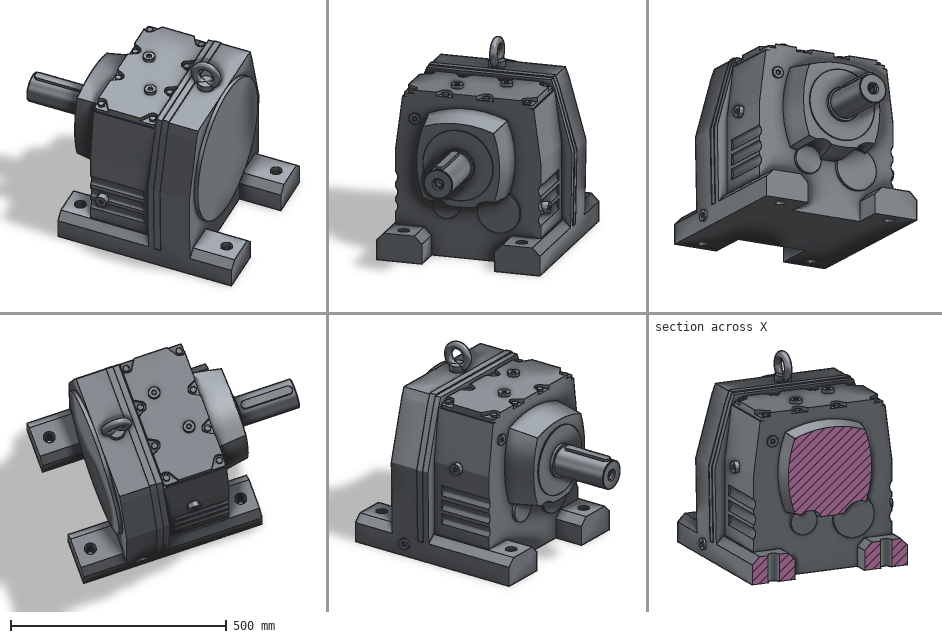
import cadquery as cq
import math

total_length = 590.0
shaft_axis_z = 250.0

key_start, key_end = 6.5, 132.0
collar_x = 140.0
seal_x = 147.5
boss_x = 150.5
bearing_cap_x = 216.5
housing_x = 224.0
flange_x = 380.0
rib_start, rib_end = 395.0, 411.0
flange_end = 485.0
motor_disc_end = 494.5

foot_outer_y, foot_inner_y = 199.5, 89.0
foot_height, foot_chamfer = 66.5, 18.0
foot_edge_z = foot_height - foot_chamfer
foot_hole_radius, foot_hole_y = 13.5, 144.5
foot_hole_stations = (184.0, 554.0)

shoulder_z = 380.5
housing_half_width, housing_top_half_width = 177.5, 160.5
groove_chord, groove_depth = 26.0, 5.5
groove_end_x = 359.0
groove_heights = (182.0, 145.0, 110.5)

flange_waist_z, flange_top_z = 230.0, 404.0
flange_waist_half_width = 203.0
flange_shoulder_half_width = 161.0
flange_top_half_width = 152.0
rib_side_step, rib_slope_step, rib_top_step = 2.0, 0.5, 3.0
rib_top_half_width = 151.5
motor_disc_radius = 174.5

boss_front_corner, boss_front_bulge = 86.0, 101.5
boss_back_corner, boss_back_bulge = 96.0, 115.0
seal_radius = 85.5

shaft_diameter, shaft_chamfer = 70.0, 2.0
collar_radius = 41.0
key_width, key_top = 20.0, 40.0
center_hole_radius, center_hole_depth = 11.0, 12.0
center_pilot_radius, center_pilot_depth, center_tip_depth = 9.0, 29.5, 5.5
center_mouth_radius, center_mouth_depth = 14.0, 3.0

cover_end_x, cover_half_width = 376.5, 157.5
cover_top_z, cover_corner_radius = 398.0, 6.5
pocket_floor_z, pocket_radius = 389.0, 13.0
inner_pocket_half_mouth = 20.5
corner_pocket_mouth = 25.0
bolt_columns = (235.5, 366.0)
outer_bolt_y = 141.5
inner_bolt_ys = (58.5, -41.5)
bolt_across_corners, bolt_head_height = 16.0, 6.0

plug_radius = 13.5
socket_across_corners, socket_depth = 12.0, 4.0
cover_plug_height = 8.0
side_plug_reach = 189.0
rear_plug_reach = 205.0
front_plug_height = 4.4

eye_x, eye_z = 439.5, 438.5
eye_ring_radius, eye_wire_radius = 28.0, 9.0
eye_base_radius, eye_base_top_z = 20.0, 419.5


def prism_x(profile, x_start, x_end):
    """Extrude a closed (y, z) outline along X."""
    return cq.Workplane("YZ", origin=(x_start, 0, 0)).polyline(profile).close().extrude(x_end - x_start)


def cylinder_x(radius, x_start, x_end, y=0.0, z=shaft_axis_z):
    return cq.Workplane("YZ", origin=(x_start, y, z)).circle(radius).extrude(x_end - x_start)


def mirrored_outline(right_side):
    """Close a half outline, listed from bottom to top, with its mirror image in Y."""
    return right_side + [(-y, z) for y, z in reversed(right_side)]


def plug(seat, outward, x_direction, seat_depth, height):
    """Round screw plug with a hexagon socket; seat_depth buries its root in the wall."""
    plane = cq.Plane(origin=seat, xDir=x_direction, normal=outward)
    body = cq.Workplane(plane).workplane(offset=-seat_depth).circle(plug_radius).extrude(seat_depth + height)
    socket = (
        cq.Workplane(plane)
        .workplane(offset=height - socket_depth)
        .polygon(6, socket_across_corners)
        .extrude(socket_depth)
    )
    return body.cut(socket)


def make_foot(side):
    inner, outer = side * foot_inner_y, side * foot_outer_y
    chamfer = side * foot_chamfer
    profile = [
        (inner, 0),
        (outer, 0),
        (outer, foot_edge_z),
        (outer - chamfer, foot_height),
        (inner + chamfer, foot_height),
        (inner, foot_edge_z),
    ]
    holes = (
        cq.Workplane("XY")
        .pushPoints([(x, side * foot_hole_y) for x in foot_hole_stations])
        .circle(foot_hole_radius)
        .extrude(foot_height)
    )
    return prism_x(profile, boss_x, total_length).cut(holes)


def make_housing():
    outline = mirrored_outline([
        (housing_half_width, 0),
        (housing_half_width, shaft_axis_z),
        (housing_top_half_width, shoulder_z),
    ])
    housing = prism_x(outline, housing_x, flange_x)
    groove_radius = ((groove_chord / 2) ** 2 + groove_depth ** 2) / (2 * groove_depth)
    groove_axis_y = housing_half_width + groove_radius - groove_depth
    for side in (1, -1):
        for z in groove_heights:
            housing = housing.cut(cylinder_x(groove_radius, housing_x, groove_end_x, side * groove_axis_y, z))
    return housing


def make_flange():
    section = mirrored_outline([
        (foot_outer_y, 0),
        (foot_outer_y, foot_edge_z),
        (flange_waist_half_width, flange_waist_z),
        (flange_shoulder_half_width, shoulder_z),
        (flange_top_half_width, flange_top_z),
    ])
    rib_section = mirrored_outline([
        (foot_outer_y + rib_side_step, foot_edge_z),
        (flange_waist_half_width + rib_side_step, flange_waist_z),
        (flange_shoulder_half_width + rib_slope_step, shoulder_z),
        (rib_top_half_width, flange_top_z + rib_top_step),
    ])
    body = prism_x(section, flange_x, flange_end)
    rib = prism_x(rib_section, rib_start, rib_end)
    motor_disc = cylinder_x(motor_disc_radius, flange_end, motor_disc_end, z=flange_waist_z)
    return body.union(rib).union(motor_disc)


def bowed_square(workplane, corner, bulge):
    """Square outline centred on the shaft axis whose four sides bow outwards."""
    return (
        workplane.moveTo(corner, corner)
        .threePointArc((0, bulge), (-corner, corner))
        .threePointArc((-bulge, 0), (-corner, -corner))
        .threePointArc((0, -bulge), (corner, -corner))
        .threePointArc((bulge, 0), (corner, corner))
        .close()
    )


def make_boss():
    front = cq.Workplane("YZ", origin=(boss_x, 0, shaft_axis_z))
    sketch = bowed_square(front, boss_front_corner, boss_front_bulge)
    sketch = bowed_square(sketch.workplane(offset=housing_x - boss_x), boss_back_corner, boss_back_bulge)
    boss = sketch.loft(ruled=True)

    bearing_caps = (
        (-76.5, 124.5, 52.0, 45.0),
        (51.5, 128.0, 33.0, 33.0),
    )
    for y, z, cap_radius, clearance_radius in bearing_caps:
        boss = boss.cut(cylinder_x(clearance_radius, boss_x, bearing_cap_x, y, z))
        boss = boss.union(cylinder_x(cap_radius, bearing_cap_x, housing_x, y, z))
    return boss.union(cylinder_x(seal_radius, seal_x, boss_x))


def make_shaft():
    shaft = cylinder_x(shaft_diameter / 2, 0, seal_x).faces("<X").chamfer(shaft_chamfer)
    shaft = shaft.union(cylinder_x(collar_radius, collar_x, seal_x))
    key = (
        cq.Workplane("XY", origin=((key_start + key_end) / 2, 0, shaft_axis_z))
        .slot2D(key_end - key_start, key_width)
        .extrude(key_top)
    )
    center_hole = (
        cq.Workplane("XY", origin=(0, 0, shaft_axis_z))
        .polyline([
            (0, 0),
            (0, center_mouth_radius),
            (center_mouth_depth, center_hole_radius),
            (center_hole_depth, center_hole_radius),
            (center_hole_depth, center_pilot_radius),
            (center_pilot_depth, center_pilot_radius),
            (center_pilot_depth + center_tip_depth, 0),
        ])
        .close()
        .revolve(360, (0, 0, 0), (1, 0, 0))
    )
    return shaft.union(key).cut(center_hole)


def pocket_prism(outline):
    return outline.close().extrude(cover_top_z - pocket_floor_z)


def flare_point(mouth_x, mouth_y):
    """Point where a line from the mouth touches the pocket circle around the origin."""
    reach = math.hypot(mouth_x, mouth_y)
    angle = math.atan2(mouth_y, mouth_x) - math.acos(pocket_radius / reach)
    return pocket_radius * math.cos(angle), pocket_radius * math.sin(angle)


def inner_pocket(x, y, inward, edge_distance):
    """Rounded notch around an inner bolt, flaring to the cover's long edge."""
    touch_x, touch_y = flare_point(-edge_distance, inner_pocket_half_mouth)
    outline = (
        cq.Workplane("XY", origin=(x, y, pocket_floor_z))
        .moveTo(-inward * edge_distance, inner_pocket_half_mouth)
        .lineTo(inward * touch_x, touch_y)
        .threePointArc((inward * pocket_radius, 0), (inward * touch_x, -touch_y))
        .lineTo(-inward * edge_distance, -inner_pocket_half_mouth)
    )
    return pocket_prism(outline)


def corner_pocket(x, y, inward, side, edge_distance):
    """Notch around a corner bolt, open to both cover edges and flaring to the short one."""
    short_edge = cover_half_width - outer_bolt_y
    touch_x, touch_y = flare_point(corner_pocket_mouth, short_edge)
    arc_end_drop = math.sqrt(pocket_radius ** 2 - edge_distance ** 2)
    outline = (
        cq.Workplane("XY", origin=(x, y, pocket_floor_z))
        .moveTo(-inward * edge_distance, side * short_edge)
        .lineTo(inward * corner_pocket_mouth, side * short_edge)
        .lineTo(inward * touch_x, side * touch_y)
        .threePointArc((0, -side * pocket_radius), (-inward * edge_distance, -side * arc_end_drop))
    )
    return pocket_prism(outline)


def make_cover():
    cover = (
        cq.Workplane("XY")
        .box(cover_end_x - housing_x, 2 * cover_half_width, cover_top_z - shoulder_z, centered=False)
        .translate((housing_x, -cover_half_width, shoulder_z))
        .edges("|Z")
        .fillet(cover_corner_radius)
    )
    bolt_places = []
    for x, inward, edge_x in zip(bolt_columns, (1, -1), (housing_x, cover_end_x)):
        edge_distance = abs(x - edge_x)
        for y in inner_bolt_ys:
            cover = cover.cut(inner_pocket(x, y, inward, edge_distance))
            bolt_places.append((x, y))
        for side in (1, -1):
            y = side * outer_bolt_y
            cover = cover.cut(corner_pocket(x, y, inward, side, edge_distance))
            bolt_places.append((x, y))
    bolt_heads = (
        cq.Workplane("XY", origin=(0, 0, pocket_floor_z))
        .pushPoints(bolt_places)
        .polygon(6, bolt_across_corners)
        .extrude(bolt_head_height)
    )
    return cover.union(bolt_heads)


def make_plugs():
    root = 7.0
    up, along_x, along_y = (0, 0, 1), (1, 0, 0), (0, 1, 0)
    left, right = (0, 1, 0), (0, -1, 0)
    side_height = side_plug_reach - housing_half_width
    rear_height = rear_plug_reach - foot_outer_y
    return [
        plug((276.0, 43.5, cover_top_z), up, along_x, root, cover_plug_height),
        plug((325.0, -61.5, cover_top_z), up, along_y, root, cover_plug_height),
        plug((255.0, -housing_half_width, 134.0), right, up, root, side_height),
        plug((312.5, housing_half_width, shaft_axis_z), left, up, root, side_height),
        plug((448.5, foot_outer_y, 32.0), left, along_x, root, rear_height),
        plug((housing_x, 130.0, 329.0), (-1, 0, 0), up, root, front_plug_height),
    ]


def make_lifting_eye():
    ring = (
        cq.Workplane("XY", origin=(eye_x, 0, eye_z))
        .center(eye_ring_radius, 0)
        .circle(eye_wire_radius)
        .revolve(360, (-eye_ring_radius, 0, 0), (-eye_ring_radius, 1, 0))
    )
    base = (
        cq.Workplane("XY", origin=(eye_x, 0, flange_top_z))
        .circle(eye_base_radius)
        .extrude(eye_base_top_z - flange_top_z)
    )
    return base.union(ring)


result = make_housing().union(make_flange())
for component in (
    make_foot(1),
    make_foot(-1),
    make_boss(),
    make_shaft(),
    make_cover(),
    make_lifting_eye(),
    *make_plugs(),
):
    result = result.union(component)